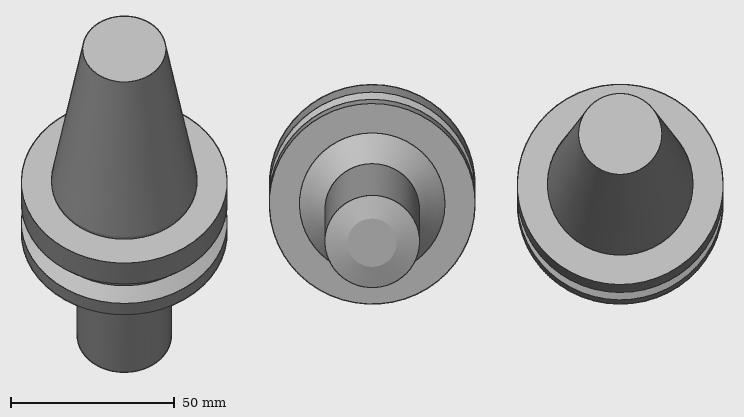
import cadquery as cq

total_height = 145.4
nose_chamfer_height = 2.0
neck_height = 45.1
flange_bottom = 53.0
lower_rim_top = 58.7
groove_bottom = 61.2
groove_top = 65.7
upper_rim_bottom = 68.5
flange_top = 79.0
taper_start = 80.0

nose_tip_diameter = 15.1
nose_diameter = 29.0
flange_diameter = 63.0
groove_diameter = 53.0
taper_large_diameter = 44.5
taper_small_diameter = 25.5

profile_steps = [
    (nose_tip_diameter, 0),
    (nose_diameter, nose_chamfer_height),
    (nose_diameter, neck_height),
    (taper_large_diameter, flange_bottom),
    (flange_diameter, flange_bottom),
    (flange_diameter, lower_rim_top),
    (groove_diameter, groove_bottom),
    (groove_diameter, groove_top),
    (flange_diameter, upper_rim_bottom),
    (flange_diameter, flange_top),
    (taper_large_diameter, flange_top),
    (taper_large_diameter, taper_start),
    (taper_small_diameter, total_height),
]
half_profile = [(diameter / 2, height) for diameter, height in profile_steps]

result = (
    cq.Workplane("XZ")
    .moveTo(0, 0)
    .polyline(half_profile, includeCurrent=True)
    .lineTo(0, total_height)
    .close()
    .revolve(360, (0, 0, 0), (0, 1, 0))
)